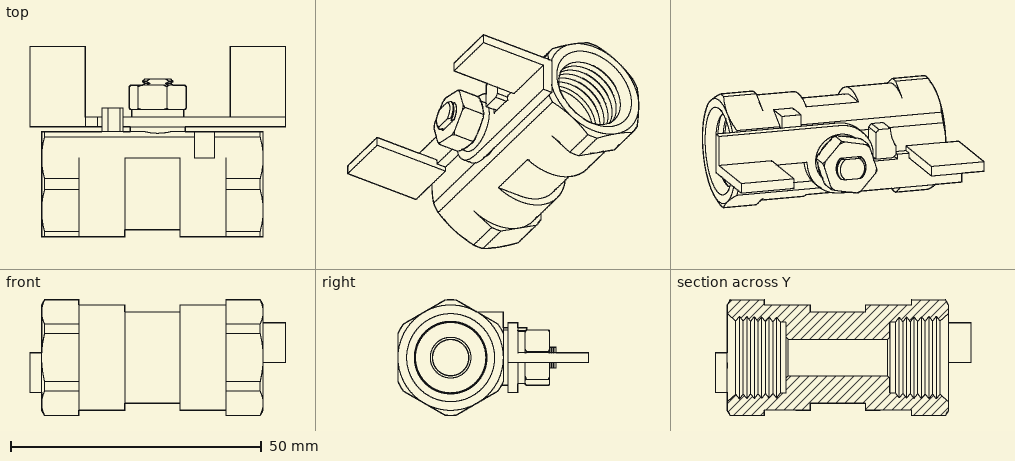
import cadquery as cq
import math


hex_half_angle = 30

body_length = 44.15
across_flats = 21.0
corner_diameter = 23.1
hex_end_length = 7.45
waist_length = 10.95
flat_radius = across_flats / 2
corner_radius = corner_diameter / 2
half_length = body_length / 2
waist_radius = flat_radius * math.cos(math.radians(hex_half_angle))
pad_start = flat_radius / 2
end_chamfer_angle = 30
end_chamfer_length = (corner_radius - flat_radius) * math.tan(math.radians(end_chamfer_angle))

bore_diameter = 7.2
bore_rim_diameter = 8.1
seat_diameter = 14.0
mouth_diameter = 17.55
mouth_inner_diameter = 15.6
thread_crest_diameter = 14.5
mouth_depth = 1.1
lead_in_length = 0.6
thread_pitch = 1.5
thread_turns = 6
thread_depth = 0.95
port_depth = 11.75

stop_block_start = 8.35
stop_block_length = 4.05
pin_top = 5.95
pin_shoulder = 2.25
pin_bottom = -0.1
pin_left = -11.1
pin_left_at_top = -9.95
pin_right = -6.9
pin_chamfer = 0.6
pin_end_y = 15.2

stem_x = 1.05
collar_diameter = 11.0
washer_diameter = 10.4
nut_corner_radius = 5.8
nut_turn = 12
nut_start_y = 14.85
nut_end_y = 19.75
nut_chamfer = 0.3
stem_diameter = 6.0
stem_flats_width = 4.2
stem_end_y = 21.0
stem_tip_chamfer = 0.45
stem_groove_depth = 0.4
stem_groove_y = 20.1
stem_groove_half_width = 0.3
stem_root_depth = 2.55
stem_root_y = flat_radius - stem_root_depth

handle_length = 51
plate_thickness = 2.0
plate_start_y = 11.4
plate_end_y = plate_start_y + plate_thickness
arm_outer_z = 7.0
arm_inner_z = plate_thickness / 2
tab_length = 11.05
tab_end_y = 27.5
notch_start = -12.0
half_handle = handle_length / 2


def x_cylinder(diameter, length):
    return cq.Workplane("YZ").circle(diameter / 2).extrude(length / 2, both=True)


def y_disc(diameter, start_y, end_y):
    """Disc on the stem axis between two heights, with the stem axis at the origin."""
    return cq.Workplane("XZ", origin=(0, start_y, 0)).circle(diameter / 2).extrude(start_y - end_y)


def box_between(low, high):
    size = [b - a for a, b in zip(low, high)]
    return cq.Workplane("XY").box(*size, centered=False).translate(low)


def hex_bar():
    """Hexagon bar with turned corners and chamfered ends, flats facing +Y and -Y."""
    hexagon_diameter = across_flats / math.cos(math.radians(hex_half_angle))
    bar = cq.Workplane("YZ").polygon(6, hexagon_diameter).extrude(half_length, both=True)
    bar = bar.rotate((0, 0, 0), (1, 0, 0), hex_half_angle)
    shoulder = half_length - end_chamfer_length
    turning = (
        cq.Workplane("XY")
        .moveTo(-half_length, 0)
        .lineTo(-half_length, flat_radius)
        .lineTo(-shoulder, corner_radius)
        .lineTo(shoulder, corner_radius)
        .lineTo(half_length, flat_radius)
        .lineTo(half_length, 0)
        .close()
        .revolve(360, (0, 0, 0), (1, 0, 0))
    )
    return bar.intersect(turning)


def body_shell():
    """Hexagon ends and a hexagon top pad, joined by round collars and a narrower waist."""
    bar = hex_bar()
    middle = half_length - hex_end_length
    half_waist = waist_length / 2
    below_pad = box_between(
        (-middle, -corner_radius, -corner_radius), (middle, pad_start, corner_radius)
    )
    shell = bar.cut(below_pad)
    collars = x_cylinder(across_flats, 2 * middle).cut(x_cylinder(across_flats, waist_length))
    waist = x_cylinder(2 * waist_radius, waist_length)
    waist_sides = box_between(
        (-half_waist, 0, -waist_radius), (half_waist, pad_start, waist_radius)
    )
    stop_block = box_between(
        (stop_block_start, 0, 0),
        (stop_block_start + stop_block_length, flat_radius, waist_radius),
    )
    return shell.union(collars).union(waist).union(waist_sides).union(stop_block)


def port_cutter():
    """Tapered port with ring grooves for the thread, opening at the -X end."""
    mouth_x = -half_length
    lead_in_x = mouth_x + mouth_depth
    thread_x = lead_in_x + lead_in_length
    thread_end = thread_x + thread_turns * thread_pitch
    seat_x = mouth_x + port_depth
    taper = (thread_crest_diameter - seat_diameter) / 2 / (thread_end - thread_x)
    rim_depth = (bore_rim_diameter - bore_diameter) / 2

    profile = cq.Workplane("XY").moveTo(mouth_x, 0).lineTo(mouth_x, mouth_diameter / 2)
    profile = profile.lineTo(lead_in_x, mouth_inner_diameter / 2)
    profile = profile.lineTo(thread_x, thread_crest_diameter / 2)
    for turn in range(thread_turns):
        start = turn * thread_pitch
        middle = start + thread_pitch / 2
        end = start + thread_pitch
        groove_radius = thread_crest_diameter / 2 - taper * middle + thread_depth
        profile = profile.lineTo(thread_x + middle, groove_radius)
        profile = profile.lineTo(thread_x + end, thread_crest_diameter / 2 - taper * end)
    profile = (
        profile.lineTo(seat_x, seat_diameter / 2)
        .lineTo(seat_x, bore_rim_diameter / 2)
        .lineTo(seat_x + rim_depth, bore_diameter / 2)
        .lineTo(seat_x + rim_depth, 0)
        .close()
    )
    return profile.revolve(360, (0, 0, 0), (1, 0, 0))


def valve_body():
    port = port_cutter()
    bore = x_cylinder(bore_diameter, body_length)
    return body_shell().cut(bore).cut(port).cut(port.mirror("YZ"))


def stop_pin():
    """Pin rising from the body beside the hub, with a hollow face away from the stem."""
    hollow_width = pin_left_at_top - pin_left
    hollow_height = pin_top - pin_shoulder
    hollow_radius = (hollow_width**2 + hollow_height**2) / (2 * hollow_width)
    half_sweep = math.atan2(hollow_width, hollow_height)
    hollow_center_x = pin_left_at_top - hollow_radius
    hollow_middle = (
        hollow_center_x + hollow_radius * math.cos(half_sweep),
        pin_top - hollow_radius * math.sin(half_sweep),
    )
    return (
        cq.Workplane("XZ", origin=(0, flat_radius, 0))
        .moveTo(pin_left + pin_chamfer, pin_bottom)
        .lineTo(pin_left, pin_bottom + pin_chamfer)
        .lineTo(pin_left, pin_shoulder)
        .threePointArc(hollow_middle, (pin_left_at_top, pin_top))
        .lineTo(pin_right - pin_chamfer, pin_top)
        .lineTo(pin_right, pin_top - pin_chamfer)
        .lineTo(pin_right, pin_bottom)
        .close()
        .extrude(flat_radius - pin_end_y)
    )


def handle():
    """Plate with a round hub and two opposite arms, each ending in an upright tab."""
    arm = box_between((0, plate_start_y, 0), (half_handle, plate_end_y, arm_outer_z))
    tab = box_between(
        (half_handle - tab_length, plate_start_y, -arm_inner_z),
        (half_handle, tab_end_y, arm_inner_z),
    )
    right_arm = arm.union(tab)
    left_arm = right_arm.rotate((0, 0, 0), (0, 1, 0), 180)
    notch = box_between(
        (notch_start, plate_start_y, -arm_inner_z), (0, plate_end_y, arm_inner_z)
    )
    hub = y_disc(2 * arm_outer_z, plate_start_y, plate_end_y)
    return right_arm.union(left_arm.cut(notch)).union(hub)


def nut():
    hexagon = (
        cq.Workplane("XZ", origin=(0, nut_start_y, 0))
        .polygon(6, 2 * nut_corner_radius)
        .extrude(nut_start_y - nut_end_y)
        .rotate((0, 0, 0), (0, 1, 0), -nut_turn)
    )
    turning = y_disc(2 * nut_corner_radius, nut_start_y, nut_end_y).edges().chamfer(nut_chamfer)
    return hexagon.intersect(turning)


def stem():
    """Threaded stem end with two flats facing +Z and -Z."""
    radius = stem_diameter / 2
    rod = (
        cq.Workplane("XY")
        .moveTo(0, stem_root_y)
        .lineTo(radius, stem_root_y)
        .lineTo(radius, stem_groove_y - stem_groove_half_width)
        .lineTo(radius - stem_groove_depth, stem_groove_y)
        .lineTo(radius, stem_groove_y + stem_groove_half_width)
        .lineTo(radius, stem_end_y - stem_tip_chamfer)
        .lineTo(radius - stem_tip_chamfer, stem_end_y)
        .lineTo(0, stem_end_y)
        .close()
        .revolve(360, (0, 0, 0), (0, 1, 0))
    )
    flats = box_between(
        (-radius, stem_root_y, -stem_flats_width / 2), (radius, stem_end_y, stem_flats_width / 2)
    )
    return rod.intersect(flats)


def stem_assembly():
    collar = y_disc(collar_diameter, stem_root_y, plate_start_y)
    washer = y_disc(washer_diameter, plate_end_y, nut_start_y)
    assembly = handle()
    for piece in (collar, washer, nut(), stem(), stop_pin()):
        assembly = assembly.union(piece)
    return assembly.translate((stem_x, 0, 0))


result = valve_body().union(stem_assembly())